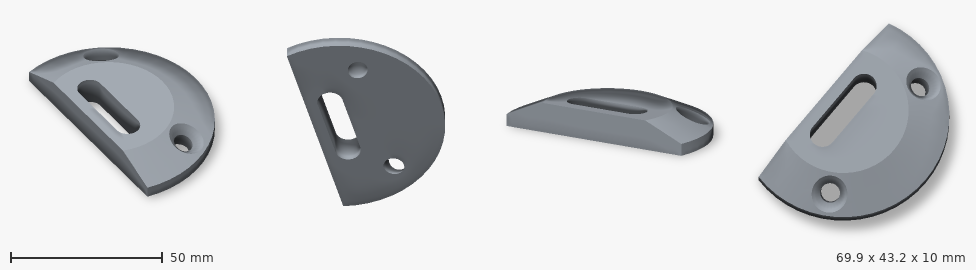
import cadquery as cq
import math

outer_radius = 34.95
top_radius = 21.5
height = 10.0
rim_height = 4.05
front_offset = 8.25

slot_length = 29.9
slot_width = 8.4

hole_diameter = 6.5
sink_diameter = 12.3
sink_angle = 90.0
hole_direction = 30.0
hole_reach = 3 * height

slope_run = outer_radius - top_radius
slope_rise = height - rim_height
hole_distance = (outer_radius + top_radius) / 2
hole_height = (height + rim_height) / 2


def make_body():
    """Revolve the bevelled profile and trim it at the front face."""
    profile = [
        (0, 0),
        (outer_radius, 0),
        (outer_radius, rim_height),
        (top_radius, height),
        (0, height),
    ]
    disc = cq.Workplane("XZ").polyline(profile).close().revolve(360, (0, 0), (0, 1))
    kept_depth = outer_radius + front_offset
    keep = cq.Workplane("XY").box(2 * outer_radius, kept_depth, height, centered=(True, False, False))
    return disc.intersect(keep.translate((0, -front_offset, 0)))


def make_slot():
    return cq.Workplane("XY").slot2D(slot_length, slot_width).extrude(height)


def make_screw_hole(direction):
    """Countersunk hole cutter at the given angle about the disc axis."""
    sink_radius = sink_diameter / 2
    hole_radius = hole_diameter / 2
    half_angle_slope = math.tan(math.radians(sink_angle / 2))
    sink_depth = (sink_radius - hole_radius) / half_angle_slope
    clearance = 1.4
    profile = [
        (0, clearance),
        (sink_radius + clearance * half_angle_slope, clearance),
        (hole_radius, -sink_depth),
        (hole_radius, -hole_reach),
        (0, -hole_reach),
    ]
    cutter = cq.Workplane("XZ").polyline(profile).close().revolve(360, (0, 0), (0, 1))
    tilt = math.degrees(math.atan2(slope_rise, slope_run))
    cutter = cutter.rotate((0, 0, 0), (0, 1, 0), tilt)
    cutter = cutter.translate((hole_distance, 0, hole_height))
    return cutter.rotate((0, 0, 0), (0, 0, 1), direction)


result = make_body().cut(make_slot())
for direction in (hole_direction, 180 - hole_direction):
    result = result.cut(make_screw_hole(direction))